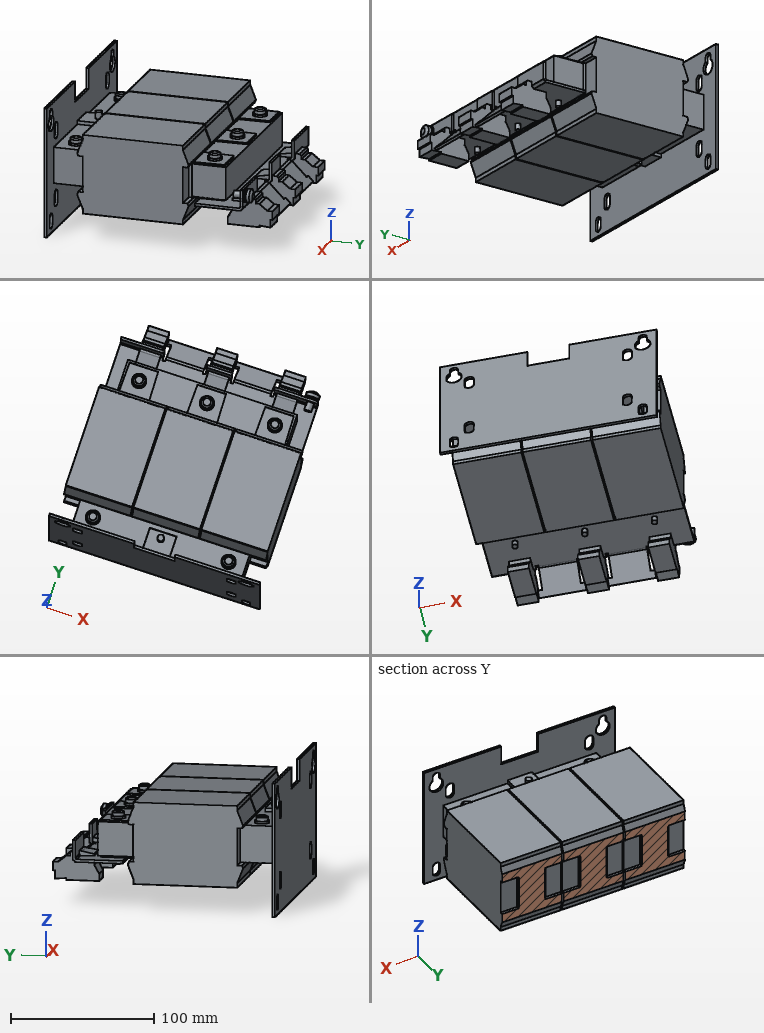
import cadquery as cq
import math


PLATE_WIDTH = 155.0
PLATE_HEIGHT = 95.0
PLATE_THICKNESS = 2.0
PLATE_TOP = 46.5
PLATE_BOTTOM = PLATE_TOP - PLATE_HEIGHT
PLATE_MIDDLE = (PLATE_TOP + PLATE_BOTTOM) / 2
NOTCH_WIDTH = 29.9
NOTCH_DEPTH = 15.2
CORNER_HOLE_X = 67.5
CORNER_SLOT_WIDTH = 6.0
CORNER_SLOT_LENGTH = 11.0
CORNER_SLOT_INSET = 9.0
KEYHOLE_DIAMETER = 11.2
KEYHOLE_INSET = 14.0
KEYHOLE_NECK_INSET = 6.5
INNER_SLOT_X = 56.5
INNER_SLOT_WIDTH = 6.8
INNER_SLOT_LENGTH = 12.0
INNER_SLOT_PITCH = 50.0

COIL_PITCH = 50.0
COIL_CENTERS = (-COIL_PITCH, 0, COIL_PITCH)
COIL_WIDTH = 48.8
COIL_FRONT = 27.5
COIL_BACK = 101.2
COIL_HALF_HEIGHT = 29.1
WING_START = 25.9
WING_TIP = 15.2
WING_REACH = 4.2
WING_LIP = 0.8

CORE_WIDTH = 124.5
YOKE_HALF_HEIGHT = 12.1
SADDLE_THICKNESS = 1.1
SADDLE_TOP = YOKE_HALF_HEIGHT + SADDLE_THICKNESS
BACK_YOKE_FRONT = 103.9
BACK_YOKE_BACK = 128.8
SADDLE_BACK = 127.0
SADDLE_BACK_WIDTH = 21.0
SADDLE_FRONT_WIDTH = 22.3
SADDLE_WEB = 2.0

TAB_WIDTH = 19.7
TAB_BACK = 19.7
TAB_THICKNESS = 2.6

FRONT_BOLT_Y = 14.4
STUD_DIAMETER = 4.7
STUD_END = 21.0
STUD_COLLAR_DIAMETER = 9.4
STUD_COLLAR_TIP_DIAMETER = 5.8
STUD_COLLAR_HEIGHT = 1.3
BACK_BOLT_Y = 116.5
SHANK_DIAMETER = 3.9
SHANK_END = 19.5
WASHER_DIAMETER = 10.2
WASHER_THICKNESS = 1.5
HEAD_DIAMETER = 8.4
HEAD_TOP_DIAMETER = 5.5
HEAD_SHOULDER = 2.6
HEAD_HEIGHT = 3.5

BRACKET_WIDTH = 144.8
BRACKET_THICKNESS = 2.0
BRACKET_TOP = -SADDLE_TOP
BRACKET_BOTTOM = BRACKET_TOP - BRACKET_THICKNESS
BRACKET_FRONT = 109.2
BRACKET_BACK = 144.8
BEND_CHAMFER = 2.0
FLANGE_TOP = 0.2
RELIEF_FRONT = 140.3
RELIEF_WIDTH = 31.4
TONGUE_STEM_WIDTH = 27.6
TONGUE_HEAD_WIDTH = 34.0
TONGUE_BEND_Y = 141.5
TONGUE_BEND_RUN = 2.1
TONGUE_SLOPE = 45
TONGUE_UNDERSIDE_FLAT = 0.5
TONGUE_END_Y = 158.4
TONGUE_HEAD_Y = 154.5

TERMINAL_WIDTH = 15.2
TERMINAL_PITCH = 50.3
TERMINAL_PROFILE = [
    (161.6, -18.3), (157.9, -18.3), (152.0, -13.7), (149.3, -13.7), (149.3, -11.2), (148.0, -10.0),
    (141.0, -10.0), (132.2, -11.8), (132.2, -19.5), (128.6, -25.9), (128.6, -31.0), (152.0, -31.0),
    (152.0, -29.7), (160.1, -30.4), (160.1, -24.5), (161.6, -24.5),
]

EARTH_X = 67.4
EARTH_Z = -5.0
EARTH_SHANK_DIAMETER = 5.3
EARTH_SHANK_FRONT = 136.7
EARTH_WASHER_DIAMETER = 9.9
EARTH_WASHER_BACK = 145.5
EARTH_NECK_DIAMETER = 8.0
EARTH_NECK_BACK = 146.5
EARTH_HEAD_BACK = 149.2
EARTH_DOME_DIAMETER = 4.8
EARTH_DOME_BACK = 150.8


def box(x_range, y_range, z_range):
    """Axis-aligned box between the given pairs of limits."""
    size = [high - low for low, high in (x_range, y_range, z_range)]
    return cq.Workplane("XY").box(*size, centered=False).translate(
        (x_range[0], y_range[0], z_range[0])
    )


def centered_box(width, y_range, z_range, x=0):
    """Box of the given width centred on x."""
    return box((x - width / 2, x + width / 2), y_range, z_range)


def side_prism(points, width, x=0):
    """Extrude a (Y, Z) outline along X, centred on x."""
    return cq.Workplane("YZ", origin=(x, 0, 0)).polyline(points).close().extrude(width / 2, both=True)


def turned(steps):
    """Round part about Z from (diameter, height) points listed from the bottom to the top."""
    outline = [(diameter / 2, height) for diameter, height in steps]
    outline = [(0, outline[0][1])] + outline + [(0, outline[-1][1])]
    return cq.Workplane("XZ").polyline(outline).close().revolve(360, (0, 0, 0), (0, 1, 0))


def make_mounting_plate():
    """Notched plate with corner slots, inner slots and keyholes."""
    plate = centered_box(PLATE_WIDTH, (0, PLATE_THICKNESS), (PLATE_BOTTOM, PLATE_TOP))
    cutters = centered_box(NOTCH_WIDTH, (0, PLATE_THICKNESS), (PLATE_TOP - NOTCH_DEPTH, PLATE_TOP))

    def slots(x, z, length, width):
        return (
            cq.Workplane("XZ").pushPoints([(-x, z), (x, z)])
            .slot2D(length, width, 90).extrude(-PLATE_THICKNESS)
        )

    cutters = cutters.union(
        slots(CORNER_HOLE_X, PLATE_BOTTOM + CORNER_SLOT_INSET, CORNER_SLOT_LENGTH, CORNER_SLOT_WIDTH)
    )
    for side in (-1, 1):
        slot_z = PLATE_MIDDLE + side * INNER_SLOT_PITCH / 2
        cutters = cutters.union(slots(INNER_SLOT_X, slot_z, INNER_SLOT_LENGTH, INNER_SLOT_WIDTH))

    entry_z = PLATE_TOP - KEYHOLE_INSET
    neck_z = PLATE_TOP - KEYHOLE_NECK_INSET
    neck_length = neck_z - entry_z + CORNER_SLOT_WIDTH
    entries = (
        cq.Workplane("XZ").pushPoints([(-CORNER_HOLE_X, entry_z), (CORNER_HOLE_X, entry_z)])
        .circle(KEYHOLE_DIAMETER / 2).extrude(-PLATE_THICKNESS)
    )
    necks = slots(CORNER_HOLE_X, (entry_z + neck_z) / 2, neck_length, CORNER_SLOT_WIDTH)
    return plate.cut(cutters.union(entries).union(necks))


def make_coil(x):
    """Coil block with flared wings above and below the core at both ends."""
    coil = centered_box(COIL_WIDTH, (COIL_FRONT, COIL_BACK), (-COIL_HALF_HEIGHT, COIL_HALF_HEIGHT), x)
    for end_y, outward in ((COIL_FRONT, -1), (COIL_BACK, 1)):
        for side in (-1, 1):
            wing = [
                (end_y, side * WING_START),
                (end_y + outward * WING_REACH, side * WING_TIP),
                (end_y + outward * (WING_REACH - WING_LIP), side * SADDLE_TOP),
                (end_y, side * SADDLE_TOP),
            ]
            coil = coil.union(side_prism(wing, COIL_WIDTH, x))
    return coil


def make_saddle(x):
    """Tapered U-shaped insulator wrapped round the back yoke."""
    outline = [
        (x - SADDLE_FRONT_WIDTH / 2, COIL_BACK),
        (x + SADDLE_FRONT_WIDTH / 2, COIL_BACK),
        (x + SADDLE_BACK_WIDTH / 2, SADDLE_BACK),
        (x - SADDLE_BACK_WIDTH / 2, SADDLE_BACK),
    ]
    saddle = cq.Workplane("XY").polyline(outline).close().extrude(SADDLE_TOP, both=True)
    inside = centered_box(
        COIL_WIDTH, (COIL_BACK + SADDLE_WEB, BACK_YOKE_BACK), (-YOKE_HALF_HEIGHT, YOKE_HALF_HEIGHT), x
    )
    leg = centered_box(
        SADDLE_BACK_WIDTH, (COIL_BACK, BACK_YOKE_FRONT), (-YOKE_HALF_HEIGHT, YOKE_HALF_HEIGHT), x
    )
    return saddle.cut(inside).union(leg)


def make_yokes():
    """Front and back yokes with the mounting tabs."""
    front = centered_box(CORE_WIDTH, (PLATE_THICKNESS, COIL_FRONT), (-SADDLE_TOP, SADDLE_TOP))
    back = centered_box(
        CORE_WIDTH, (BACK_YOKE_FRONT, BACK_YOKE_BACK), (-YOKE_HALF_HEIGHT, YOKE_HALF_HEIGHT)
    )
    tabs = centered_box(
        TAB_WIDTH, (PLATE_THICKNESS, TAB_BACK), (-SADDLE_TOP - TAB_THICKNESS, SADDLE_TOP + TAB_THICKNESS)
    )
    return front.union(back).union(tabs)


def make_stud():
    """Centre stud through both tabs, with a tapered collar under the lower one."""
    collar_top = -SADDLE_TOP - TAB_THICKNESS
    collar_bottom = collar_top - STUD_COLLAR_HEIGHT
    return turned([
        (STUD_DIAMETER, -STUD_END),
        (STUD_DIAMETER, collar_bottom),
        (STUD_COLLAR_TIP_DIAMETER, collar_bottom),
        (STUD_COLLAR_DIAMETER, collar_top),
        (STUD_DIAMETER, collar_top),
        (STUD_DIAMETER, STUD_END),
    ]).translate((0, FRONT_BOLT_Y, 0))


def make_core_screw(x, y, shank_bottom):
    """Screw on the core with a washer and a bevelled head."""
    washer_top = SADDLE_TOP + WASHER_THICKNESS
    return turned([
        (SHANK_DIAMETER, shank_bottom),
        (SHANK_DIAMETER, SADDLE_TOP),
        (WASHER_DIAMETER, SADDLE_TOP),
        (WASHER_DIAMETER, washer_top),
        (HEAD_DIAMETER, washer_top),
        (HEAD_DIAMETER, washer_top + HEAD_SHOULDER),
        (HEAD_TOP_DIAMETER, washer_top + HEAD_HEIGHT),
    ]).translate((x, y, 0))


def make_bracket():
    """Angle bracket with two sloping T-shaped tongues between the terminals."""
    flange_front = BRACKET_BACK - BRACKET_THICKNESS
    profile = [
        (BRACKET_FRONT, BRACKET_TOP),
        (flange_front - BEND_CHAMFER / 2, BRACKET_TOP),
        (flange_front, BRACKET_TOP + BEND_CHAMFER / 2),
        (flange_front, FLANGE_TOP),
        (BRACKET_BACK, FLANGE_TOP),
        (BRACKET_BACK, BRACKET_BOTTOM + BEND_CHAMFER),
        (BRACKET_BACK - BEND_CHAMFER, BRACKET_BOTTOM),
        (BRACKET_FRONT, BRACKET_BOTTOM),
    ]
    bracket = side_prism(profile, BRACKET_WIDTH)

    bend_drop = TONGUE_BEND_RUN * math.tan(math.radians(TONGUE_SLOPE / 2))
    slope_start = TONGUE_BEND_Y + TONGUE_BEND_RUN
    slope = math.tan(math.radians(TONGUE_SLOPE))
    sheet_y = BRACKET_THICKNESS * math.sin(math.radians(TONGUE_SLOPE))
    sheet_z = BRACKET_THICKNESS * math.cos(math.radians(TONGUE_SLOPE))

    def slope_z(y):
        return BRACKET_TOP - bend_drop - (y - slope_start) * slope

    end_z = slope_z(TONGUE_END_Y)
    head_z = slope_z(TONGUE_HEAD_Y)
    tongue_profile = [
        (RELIEF_FRONT, BRACKET_TOP),
        (TONGUE_BEND_Y, BRACKET_TOP),
        (slope_start, BRACKET_TOP - bend_drop),
        (TONGUE_END_Y, end_z),
        (TONGUE_END_Y - sheet_y, end_z - sheet_z),
        (slope_start - sheet_y, BRACKET_TOP - bend_drop - sheet_z),
        (RELIEF_FRONT + TONGUE_UNDERSIDE_FLAT, BRACKET_BOTTOM),
        (RELIEF_FRONT, BRACKET_BOTTOM),
    ]
    head_profile = [
        (TONGUE_HEAD_Y, head_z),
        (TONGUE_END_Y, end_z),
        (TONGUE_END_Y - sheet_y, end_z - sheet_z),
        (TONGUE_HEAD_Y - sheet_y, head_z - sheet_z),
    ]
    for x in (-COIL_PITCH / 2, COIL_PITCH / 2):
        relief = centered_box(
            RELIEF_WIDTH, (RELIEF_FRONT, BRACKET_BACK), (BRACKET_BOTTOM, FLANGE_TOP), x
        )
        tongue = side_prism(tongue_profile, TONGUE_STEM_WIDTH, x)
        bracket = bracket.cut(relief).union(tongue).union(side_prism(head_profile, TONGUE_HEAD_WIDTH, x))
    return bracket


def make_earth_screw():
    """Domed screw through the upright flange, pointing toward the core."""
    steps = [
        (EARTH_SHANK_DIAMETER, EARTH_SHANK_FRONT),
        (EARTH_SHANK_DIAMETER, BRACKET_BACK),
        (EARTH_WASHER_DIAMETER, BRACKET_BACK),
        (EARTH_WASHER_DIAMETER, EARTH_WASHER_BACK),
        (EARTH_NECK_DIAMETER, EARTH_WASHER_BACK),
        (EARTH_NECK_DIAMETER, EARTH_NECK_BACK),
        (EARTH_WASHER_DIAMETER, EARTH_NECK_BACK),
        (EARTH_WASHER_DIAMETER, EARTH_HEAD_BACK),
        (EARTH_DOME_DIAMETER, EARTH_DOME_BACK),
    ]
    return turned(steps).rotate((0, 0, 0), (1, 0, 0), -90).translate((EARTH_X, 0, EARTH_Z))


result = make_mounting_plate().union(make_yokes()).union(make_stud()).union(make_bracket())
for x in COIL_CENTERS:
    result = result.union(make_coil(x)).union(make_saddle(x))
    result = result.union(make_core_screw(x, BACK_BOLT_Y, -SHANK_END))
for x in (-COIL_PITCH, COIL_PITCH):
    result = result.union(make_core_screw(x, FRONT_BOLT_Y, -SADDLE_TOP))
for x in (-TERMINAL_PITCH, 0, TERMINAL_PITCH):
    result = result.union(side_prism(TERMINAL_PROFILE, TERMINAL_WIDTH, x))
result = result.union(make_earth_screw())